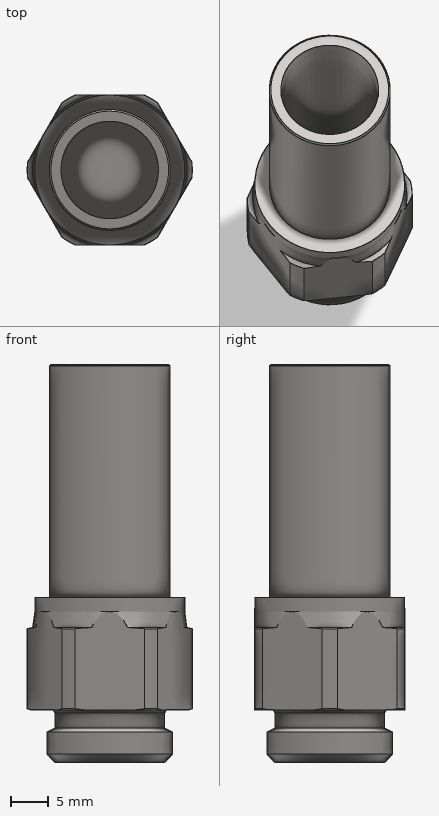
import cadquery as cq

total_height = 53.0
end_chamfer_top = 1.1
lip_top = 4.05
neck_bottom = 4.55
neck_top = 6.55
hex_bottom = 7.0
corner_chamfer_height = 0.15
hex_corner_top = 17.8
cone_bottom = 17.95
cone_top = 20.1
collar_top = 22.0

across_flats = 20.0
collar_radius = across_flats / 2
corner_radius = 22.0 / 2
corner_chamfer_width = 0.5
cone_base_radius = 10.3
lip_radius = 8.4
neck_radius = 7.3
neck_flare_radius = 7.5
end_radius = neck_radius
tube_radius = 8.05
bore_radius = 13.0 / 2
rim_chamfer = 0.2

bore_floor = collar_top


def revolve_profile(points):
    """Revolve a half section of (radius, height) points about Z."""
    return cq.Workplane("XZ").polyline(points).close().revolve(360, (0, 0), (0, 1))


def make_plug():
    """Lower end: chamfered lip below a neck that flares into the hexagon."""
    return revolve_profile([
        (0, 0),
        (end_radius, 0),
        (lip_radius, end_chamfer_top),
        (lip_radius, lip_top),
        (neck_radius, neck_bottom),
        (neck_radius, neck_top),
        (neck_flare_radius, hex_bottom),
        (0, hex_bottom),
    ])


def make_hexagon():
    """Hexagon with rounded corners, trimmed to a shallow cone at its top."""
    envelope = revolve_profile([
        (0, hex_bottom),
        (corner_radius - corner_chamfer_width, hex_bottom),
        (corner_radius, hex_bottom + corner_chamfer_height),
        (corner_radius, hex_corner_top),
        (cone_base_radius, cone_bottom),
        (collar_radius, cone_top),
        (0, cone_top),
    ])
    prism = (
        cq.Workplane("XY")
        .workplane(offset=hex_bottom)
        .polygon(6, across_flats, circumscribed=True)
        .extrude(cone_top - hex_bottom)
        .rotate((0, 0, 0), (0, 0, 1), 30)
    )
    return envelope.intersect(prism)


def make_collar():
    """Round collar above the hexagon."""
    return (
        cq.Workplane("XY")
        .workplane(offset=cone_top)
        .circle(collar_radius)
        .extrude(collar_top - cone_top)
    )


def make_tube():
    """Tube with a lightly chamfered outer rim and an open bore."""
    outside = (
        cq.Workplane("XY")
        .workplane(offset=collar_top)
        .circle(tube_radius)
        .extrude(total_height - collar_top)
        .faces(">Z")
        .chamfer(rim_chamfer)
    )
    bore = (
        cq.Workplane("XY")
        .workplane(offset=bore_floor)
        .circle(bore_radius)
        .extrude(total_height - bore_floor)
    )
    return outside.cut(bore)


result = make_plug().union(make_hexagon()).union(make_collar()).union(make_tube())